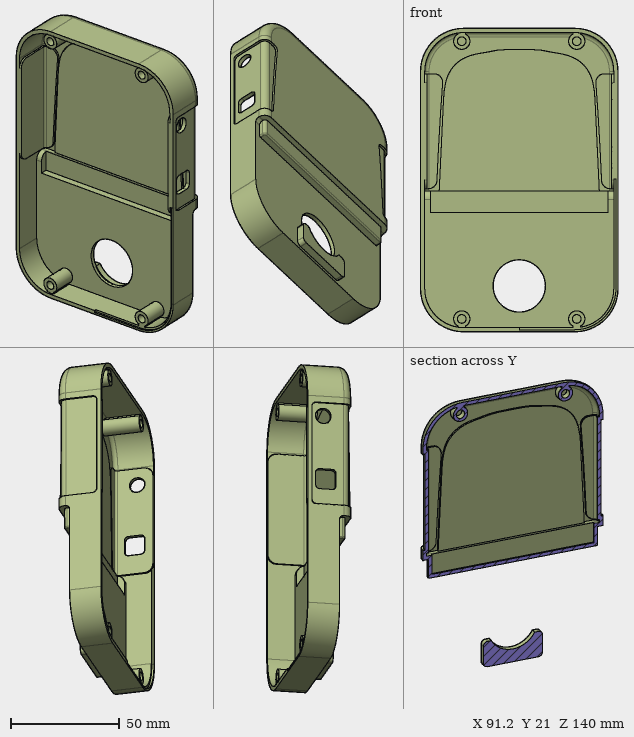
import cadquery as cq

WIDTH = 91.15
HEIGHT = 140.0
CORNER_RADIUS = 20.0
WALL = 2.0
UPPER_DEPTH = 21.0
LOWER_DEPTH = 15.0
BACK_FILLET = 4.0
STEP_Z = -7.0
STEP_FILLET = 2.0
CLEARANCE = 5.0

HALF_WIDTH = WIDTH / 2
HALF_HEIGHT = HEIGHT / 2

SINK_DEPTH = 1.0
GRIP_TOP_Z = 47.0
GRIP_BOTTOM_Z = -2.0
GRIP_FRONT_Y = 2.0
GRIP_CORNER_RADIUS = 2.0
GRIP_EDGE_TOP_X = 37.0
GRIP_EDGE_MID_X = 38.8
GRIP_EDGE_BOTTOM_X = 40.1
ARCH_TOP_Z = 60.2
ARCH_FOOT_X = 36.9
ARCH_SHOULDER = (34.9, 37.3)
ARCH_CROWN = [(30.1, 52.6), (22.5, 57.4), (14.5, 59.0)]

RIDGE_BACK_Y = 18.5
RIDGE_HALF_WIDTH = 42.8
RIDGE_BOTTOM_Z = -17.0
RIDGE_END_FILLET = 1.6
RIDGE_BOTTOM_FILLET = 0.7

FOOT_TOP_Z = -54.9
FOOT_BOTTOM_Z = -68.1
FOOT_HALF_WIDTH = 15.0
FOOT_CORNER_RADIUS = 2.2
OPENING_DIAMETER = 24.0
FOOT_OPENING_DIAMETER = 25.0
OPENING_Z = -48.8

BOSS_DIAMETER = 7.5
BOSS_HOLE_DIAMETER = 4.0
BOSS_X = 26.5
BOSS_Z = 64.0
BOSS_WEB_WIDTH = 3.6

LIP_DEPTH = 1.0
LIP_WIDTH = 1.0
LIP_TOP_Z = 0.5

JACK_DIAMETER = 7.3
JACK_Y = 7.5
JACK_Z = 40.8
SOCKET_SIZE = 9.7
SOCKET_CORNER_RADIUS = 2.0
SOCKET_Y = 8.7
SOCKET_Z = 10.4


def front_plane(y):
    """Sketch plane at depth y: local axes are X and Z, extrusion runs towards +Y."""
    return cq.Workplane(cq.Plane(origin=(0, y, 0), xDir=(1, 0, 0), normal=(0, -1, 0)))


def block(x_range, y_range, z_range):
    size = [high - low for low, high in (x_range, y_range, z_range)]
    corner = (x_range[0], y_range[0], z_range[0])
    return cq.Workplane("XY").box(*size, centered=False).translate(corner)


def rounded_prism(inset, depth):
    """Housing outline moved inwards by inset, from the rim plane back to depth."""
    outline = front_plane(0).rect(WIDTH - 2 * inset, HEIGHT - 2 * inset)
    prism = outline.extrude(-depth)
    return prism.edges("|Y").fillet(CORNER_RADIUS - inset)


def stepped_body(inset):
    """Solid housing shape with every face except the rim plane moved inwards by inset."""
    back_y = UPPER_DEPTH - inset
    lower_y = LOWER_DEPTH - inset
    step_z = STEP_Z + inset
    radius = STEP_FILLET + inset
    far_y = UPPER_DEPTH + CLEARANCE
    far_z = -HALF_HEIGHT - CLEARANCE
    body = rounded_prism(inset, back_y).faces(">Y").edges().fillet(BACK_FILLET - inset)
    step = (
        cq.Workplane("YZ")
        .moveTo(far_y, step_z)
        .lineTo(lower_y + radius, step_z)
        .radiusArc((lower_y, step_z - radius), -radius)
        .lineTo(lower_y, far_z)
        .lineTo(far_y, far_z)
        .close()
        .extrude(HALF_WIDTH + CLEARANCE, both=True)
    )
    return body.cut(step)


def grip_region(margin):
    """Volume of the -X grip panel, widened all round by margin."""
    far_x = -HALF_WIDTH - CLEARANCE
    far_y = UPPER_DEPTH + CLEARANCE
    bottom_z = GRIP_BOTTOM_Z - margin
    top_z = GRIP_TOP_Z + margin
    radius = GRIP_CORNER_RADIUS + margin
    from_behind = (
        front_plane(0)
        .moveTo(far_x, bottom_z)
        .lineTo(margin - GRIP_EDGE_BOTTOM_X, bottom_z)
        .threePointArc(
            (margin - GRIP_EDGE_MID_X, (bottom_z + top_z) / 2),
            (margin - GRIP_EDGE_TOP_X, top_z),
        )
        .lineTo(far_x, top_z)
        .close()
        .extrude(-far_y)
        .edges("|Y")
        .edges("not <X")
        .fillet(radius)
    )
    from_side = block(
        (far_x, 0), (GRIP_FRONT_Y - margin, far_y), (bottom_z, top_z)
    ).edges("|X and <Y").fillet(radius)
    return from_behind.intersect(from_side)


def add_grips(housing):
    """Sink both side panels and thicken the wall behind them by the same depth."""
    skin = stepped_body(0).cut(stepped_body(SINK_DEPTH))
    lining = stepped_body(WALL).cut(stepped_body(WALL + SINK_DEPTH))
    recess = skin.intersect(grip_region(0))
    backing = lining.intersect(grip_region(WALL))
    for side in (recess, recess.mirror("YZ")):
        housing = housing.cut(side)
    for side in (backing, backing.mirror("YZ")):
        housing = housing.union(side)
    return housing


def arch_pad():
    """Thin raised pad on the deep floor with an arched top."""
    foot_z = STEP_Z + WALL
    shoulder_x, shoulder_z = ARCH_SHOULDER
    flank_direction = (ARCH_FOOT_X - shoulder_x, shoulder_z - foot_z)
    left_crown = [(-x, z) for x, z in ARCH_CROWN]
    left_half = (
        front_plane(UPPER_DEPTH - WALL)
        .moveTo(0, foot_z)
        .lineTo(-ARCH_FOOT_X, foot_z)
        .lineTo(-shoulder_x, shoulder_z)
        .spline(
            left_crown + [(0, ARCH_TOP_Z)],
            tangents=[flank_direction, (1, 0)],
            includeCurrent=True,
        )
        .close()
        .extrude(SINK_DEPTH)
    )
    return left_half.union(left_half.mirror("YZ"))


def ridge():
    half = RIDGE_HALF_WIDTH
    body = block((-half, half), (LOWER_DEPTH - WALL, RIDGE_BACK_Y), (RIDGE_BOTTOM_Z, STEP_Z))
    body = body.edges(">Y and |Z").fillet(RIDGE_END_FILLET)
    return body.edges(">Y and <Z").fillet(RIDGE_BOTTOM_FILLET)


def ridge_pocket():
    half = RIDGE_HALF_WIDTH - WALL
    return block(
        (-half, half),
        (0, RIDGE_BACK_Y - WALL),
        (RIDGE_BOTTOM_Z + WALL, STEP_Z + WALL),
    )


def foot():
    half = FOOT_HALF_WIDTH
    body = block((-half, half), (LOWER_DEPTH - WALL, RIDGE_BACK_Y), (FOOT_BOTTOM_Z, FOOT_TOP_Z))
    return body.edges("|Y").fillet(FOOT_CORNER_RADIUS)


def round_opening():
    """Hole through the shallow floor, slightly wider where it passes the foot."""
    floor_hole = front_plane(0).center(0, OPENING_Z).circle(OPENING_DIAMETER / 2)
    foot_hole = front_plane(LOWER_DEPTH).center(0, OPENING_Z).circle(FOOT_OPENING_DIAMETER / 2)
    foot_height = RIDGE_BACK_Y - LOWER_DEPTH
    return floor_hole.extrude(-LOWER_DEPTH).union(foot_hole.extrude(-foot_height))


def add_bosses(housing):
    """Four webbed bosses standing on the floors, with blind holes down to floor level."""
    web_length = HALF_HEIGHT - WALL / 2 - BOSS_Z
    web_centre_z = BOSS_Z + web_length / 2
    for end, depth in ((1, UPPER_DEPTH), (-1, LOWER_DEPTH)):
        length = depth - WALL - LIP_DEPTH
        start = front_plane(LIP_DEPTH)
        centres = start.pushPoints([(-BOSS_X, end * BOSS_Z), (BOSS_X, end * BOSS_Z)])
        web_centres = start.pushPoints([(-BOSS_X, end * web_centre_z), (BOSS_X, end * web_centre_z)])
        bosses = centres.circle(BOSS_DIAMETER / 2).extrude(-length)
        webs = web_centres.rect(BOSS_WEB_WIDTH, web_length).extrude(-length)
        holes = centres.circle(BOSS_HOLE_DIAMETER / 2).extrude(-length)
        supports = bosses.union(webs).intersect(stepped_body(WALL / 2))
        housing = housing.union(supports).cut(holes)
    return housing


def lip_step():
    """Step in the inner half of the rim around the lower +X quarter."""
    ring = rounded_prism(WALL - LIP_WIDTH, LIP_DEPTH).cut(rounded_prism(WALL, LIP_DEPTH))
    return ring.intersect(block((0, HALF_WIDTH), (0, LIP_DEPTH), (-HALF_HEIGHT, LIP_TOP_Z)))


def side_openings():
    """Round and square openings through the +X side wall."""
    wall_plane = cq.Workplane("YZ", origin=(HALF_WIDTH - 2 * WALL, 0, 0))
    length = 2 * WALL + CLEARANCE
    jack = wall_plane.center(JACK_Y, JACK_Z).circle(JACK_DIAMETER / 2).extrude(length)
    socket = wall_plane.center(SOCKET_Y, SOCKET_Z).rect(SOCKET_SIZE, SOCKET_SIZE).extrude(length)
    return jack.union(socket.edges("|X").fillet(SOCKET_CORNER_RADIUS))


shell = stepped_body(0).union(ridge()).union(foot())
shell = shell.cut(stepped_body(WALL)).cut(ridge_pocket()).cut(round_opening())
shell = add_grips(shell).union(arch_pad())
shell = add_bosses(shell)
result = shell.cut(lip_step()).cut(side_openings())